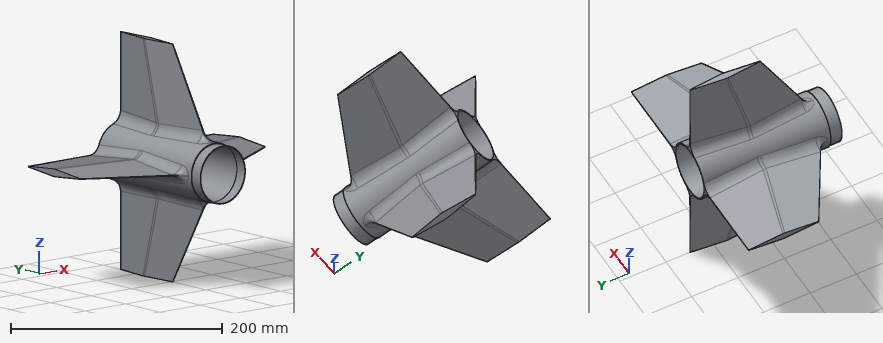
import cadquery as cq
import math

length = 148.7
body_radius = 28.7
collar_radius = 28.0
collar_length = 12.5
bore_radius = 27.3

fin_count = 4
tip_radius = 114.7
tip_chord = 75.7
sweep_angle = 30.0
thickness_ratio = 0.098
band_ratio = 0.027
edge_ratio = 0.009
root_fillet = 12.6

tolerance = 0.11


def build_tube_blank():
    """Solid main body with the slightly slimmer collar at the front."""
    collar = cq.Workplane("XZ").circle(collar_radius).extrude(-collar_length)
    body = (
        cq.Workplane("XZ", origin=(0, collar_length, 0))
        .circle(body_radius)
        .extrude(collar_length - length)
    )
    return collar.union(body)


def fin_chord(radius):
    """Chord at one distance from the tube axis; the rear edge is straight."""
    return tip_chord + (tip_radius - radius) * math.tan(math.radians(sweep_angle))


def fin_section(radius):
    """Hexagon-like section across the fin at one distance from the tube axis."""
    chord = fin_chord(radius)
    middle = length - chord / 2
    half_band = chord * band_ratio / 2
    half_thickness = chord * thickness_ratio / 2
    half_edge = chord * edge_ratio / 2
    upper = [
        (length - chord, half_edge),
        (middle - half_band, half_thickness),
        (middle + half_band, half_thickness),
        (length, half_edge),
    ]
    lower = [(y, -z) for y, z in reversed(upper)]
    points = [cq.Vector(radius, y, z) for y, z in upper + lower]
    return cq.Wire.makePolygon(points, close=True)


def build_fin():
    """Swept fin along +X, tapering straight from inside the tube to its tip."""
    root_radius = bore_radius / 2
    sections = [fin_section(root_radius), fin_section(tip_radius)]
    return cq.Workplane(cq.Solid.makeLoft(sections, True))


fin_front = length - fin_chord(body_radius) - tolerance


def is_root_edge(edge):
    """True for the joint lines between fin and tube, without the rear face."""
    center = edge.Center()
    from_axis = math.hypot(center.x, center.z)
    on_body = abs(from_axis - body_radius) < tolerance
    between_ends = fin_front < center.y < length - tolerance
    beside_fin = min(abs(center.x), abs(center.z)) < body_radius / 2
    return on_body and between_ends and beside_fin


tail = build_tube_blank()
for index in range(fin_count):
    fin = build_fin().rotate((0, 0, 0), (0, 1, 0), index * 360 / fin_count)
    tail = tail.union(fin)

root_edges = [edge for edge in tail.edges().vals() if is_root_edge(edge)]
tail = tail.newObject(root_edges).fillet(root_fillet)

bore = cq.Workplane("XZ").circle(bore_radius).extrude(-length)
result = tail.cut(bore)